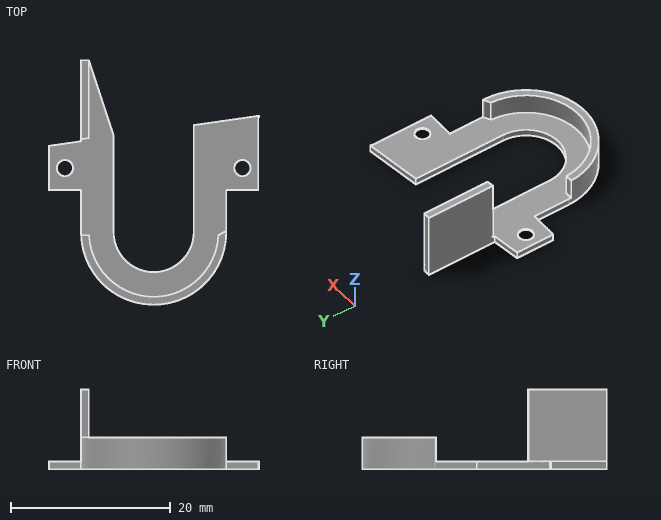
import cadquery as cq
import math

plate_thickness = 1.0
inner_radius = 5.0
outer_radius = 9.1

hole_diameter = 2.0
countersink_diameter = 3.6
countersink_angle = 90.0
hole_x = outer_radius + 2.0
hole_y = 8.0
tab_edge_x = hole_x + 2.0
tab_bottom_y = 5.23

trim_angle = 8.15
trim_y_at_center = 12.67

lip_width = 0.08
lip_height = 0.2

flag_thickness = 1.0
flag_height = 10.0
flag_end_y = 21.51
flag_trim_offset = 0.25
gusset_start_y = 12.08

rim_thickness = 1.0
rim_height = 4.0
rim_inner_radius = outer_radius - rim_thickness
rim_end_y = -0.4
rim_right_outer_y = 0.15


def trim_y(x):
    """Y position of the slanted trim line at a given x."""
    return trim_y_at_center + x * math.tan(math.radians(trim_angle))


def make_plate():
    """U-shaped plate with side tabs and a tapered arm below the flag."""
    lip_x = tab_edge_x + lip_width
    lip_bottom_y = trim_y(lip_x) - lip_height
    return (
        cq.Workplane("XY")
        .moveTo(-outer_radius, 0)
        .threePointArc((0, -outer_radius), (outer_radius, 0))
        .lineTo(outer_radius, tab_bottom_y)
        .lineTo(tab_edge_x, tab_bottom_y)
        .lineTo(tab_edge_x, lip_bottom_y)
        .lineTo(lip_x, lip_bottom_y)
        .lineTo(lip_x, trim_y(lip_x))
        .lineTo(inner_radius, trim_y(inner_radius))
        .lineTo(inner_radius, 0)
        .threePointArc((0, -inner_radius), (-inner_radius, 0))
        .lineTo(-inner_radius, gusset_start_y)
        .lineTo(-outer_radius + flag_thickness, flag_end_y)
        .lineTo(-outer_radius, flag_end_y)
        .lineTo(-outer_radius, trim_y(-outer_radius))
        .lineTo(-tab_edge_x, trim_y(-tab_edge_x))
        .lineTo(-tab_edge_x, tab_bottom_y)
        .lineTo(-outer_radius, tab_bottom_y)
        .close()
        .extrude(plate_thickness)
    )


def make_flag():
    """Upright wall whose near end follows the slanted trim line."""
    outer_x = -outer_radius
    inner_x = outer_x + flag_thickness
    return (
        cq.Workplane("XY")
        .moveTo(outer_x, trim_y(outer_x) + flag_trim_offset)
        .lineTo(inner_x, trim_y(inner_x) + flag_trim_offset)
        .lineTo(inner_x, flag_end_y)
        .lineTo(outer_x, flag_end_y)
        .close()
        .extrude(flag_height)
    )


def make_rim():
    """Curved wall with a square left end and a slanted right end."""
    left_outer_x = -math.sqrt(outer_radius**2 - rim_end_y**2)
    inner_x = math.sqrt(rim_inner_radius**2 - rim_end_y**2)
    return (
        cq.Workplane("XY")
        .moveTo(left_outer_x, rim_end_y)
        .threePointArc((0, -outer_radius), (outer_radius, 0))
        .lineTo(outer_radius, rim_right_outer_y)
        .lineTo(inner_x, rim_end_y)
        .threePointArc((0, -rim_inner_radius), (-inner_x, rim_end_y))
        .close()
        .extrude(rim_height)
    )


def make_tab_hole(x):
    """Through-hole cutter at x, countersunk from the underside."""
    hole_radius = hole_diameter / 2
    countersink_radius = countersink_diameter / 2
    half_angle = math.radians(countersink_angle / 2)
    countersink_depth = (countersink_radius - hole_radius) / math.tan(half_angle)
    profile = (
        cq.Workplane("XZ")
        .lineTo(countersink_radius, 0)
        .lineTo(hole_radius, countersink_depth)
        .lineTo(hole_radius, plate_thickness)
        .lineTo(0, plate_thickness)
        .close()
    )
    cutter = profile.revolve(360, (0, 0, 0), (0, 1, 0))
    return cutter.translate((x, hole_y, 0))


result = make_plate().union(make_flag()).union(make_rim())
for side in (-1, 1):
    result = result.cut(make_tab_hole(side * hole_x))